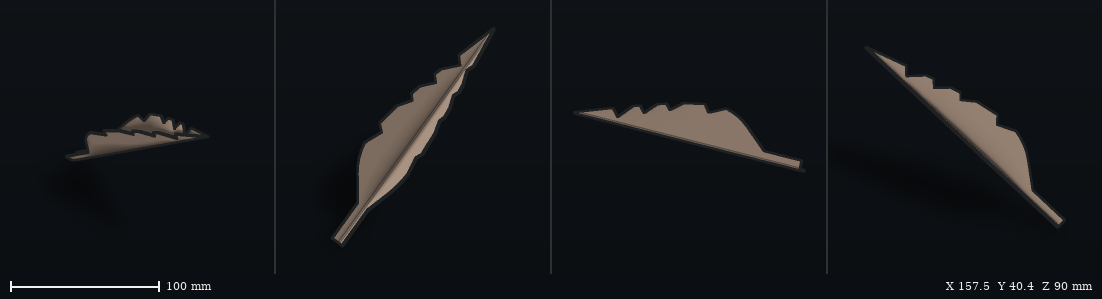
import cadquery as cq
import math

TILT_ANGLE = 30.0
HALF_ANGLE = 45.0

SHEET_THICKNESS = 1.0
INNER_BEND_RADIUS = 1.0
OUTER_BEND_RADIUS = INNER_BEND_RADIUS + SHEET_THICKNESS

LEAF_LENGTH = 178.99
TIP_REACH = 0.39

STEM_LENGTH = 29.8
STEM_REACH = 6.49

SWELL_ARC_START = (46.4, 19.5)
WIDEST = (65.6, 27.975)

NOTCHES = [
    ((78.0, 22.4), (82.3, 27.5), (98.5, 24.5)),
    ((107.5, 17.8), (111.1, 21.3), (118.1, 19.4)),
    ((126.4, 11.5), (130.7, 15.8), (135.9, 14.1)),
]
LAST_NOTCH_ROOT = (145.5, 4.5)
LAST_TOOTH_POINT = (150.6, 9.6)

TRIM_MARGIN = 5.0
FLANK_LENGTH = WIDEST[1] + TRIM_MARGIN


def half_sheet():
    """Untrimmed +Y half: half of the bend and one straight flank, along the whole midrib."""
    cos_half = math.cos(math.radians(HALF_ANGLE))
    sin_half = math.sin(math.radians(HALF_ANGLE))

    def on_bend(radius, angle):
        turn = math.radians(angle)
        return (radius * math.sin(turn), OUTER_BEND_RADIUS - radius * math.cos(turn))

    def flank_end(radius):
        y, z = on_bend(radius, HALF_ANGLE)
        return (y + FLANK_LENGTH * cos_half, z + FLANK_LENGTH * sin_half)

    return (
        cq.Workplane("YZ")
        .moveTo(*on_bend(OUTER_BEND_RADIUS, 0))
        .threePointArc(
            on_bend(OUTER_BEND_RADIUS, HALF_ANGLE / 2), on_bend(OUTER_BEND_RADIUS, HALF_ANGLE)
        )
        .lineTo(*flank_end(OUTER_BEND_RADIUS))
        .lineTo(*flank_end(INNER_BEND_RADIUS))
        .lineTo(*on_bend(INNER_BEND_RADIUS, HALF_ANGLE))
        .threePointArc(
            on_bend(INNER_BEND_RADIUS, HALF_ANGLE / 2), on_bend(INNER_BEND_RADIUS, 0)
        )
        .close()
        .extrude(LEAF_LENGTH)
    )


def half_outline():
    """Prism square to the +Y flank that holds the outline of half the leaf."""
    rise = math.radians(HALF_ANGLE)
    flank_plane = cq.Plane(
        origin=(0, 0, 0), xDir=(1, 0, 0), normal=(0, -math.sin(rise), math.cos(rise))
    )
    edge = (
        cq.Workplane(flank_plane)
        .lineTo(0, STEM_REACH)
        .lineTo(STEM_LENGTH, STEM_REACH)
        .lineTo(*SWELL_ARC_START)
        .tangentArcPoint(WIDEST, relative=False)
    )
    for root, tooth_point, bend in NOTCHES:
        edge = edge.lineTo(*root).lineTo(*tooth_point).lineTo(*bend)
    return (
        edge.lineTo(*LAST_NOTCH_ROOT)
        .lineTo(*LAST_TOOTH_POINT)
        .lineTo(LEAF_LENGTH, TIP_REACH)
        .lineTo(LEAF_LENGTH, 0)
        .close()
        .extrude(TRIM_MARGIN, both=True)
    )


half_leaf = half_sheet().intersect(half_outline())
leaf = half_leaf.union(half_leaf.mirror("XZ"))

result = leaf.rotate((0, 0, 0), (0, 1, 0), -TILT_ANGLE)